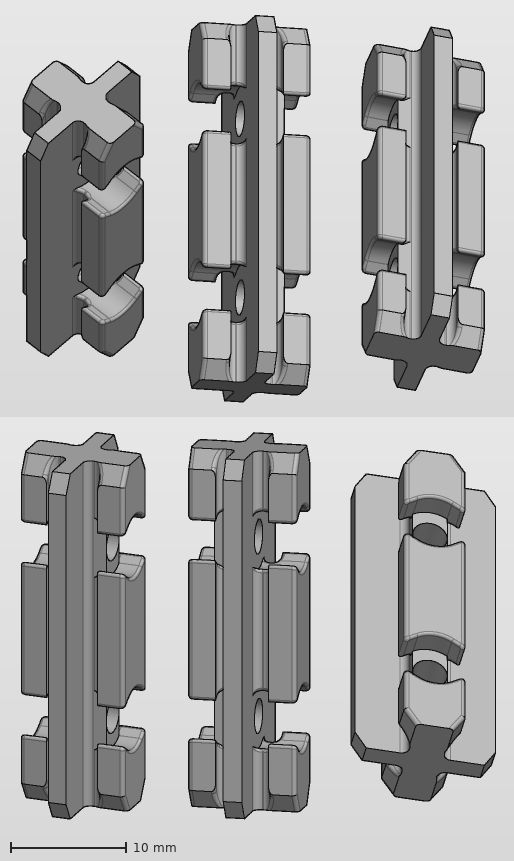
import cadquery as cq
import math

length = 32.0
wing_span = 9.7
fin_span = 12.5
fin_thickness = 1.65
wing_thickness = 5.45

fin_bevel_depth = 1.0
wing_bevel_depth = 1.05
bevel_length = 1.65
wing_edge_radius = 0.4

groove_width = 1.55
groove_radius = 0.7
core_thickness = 3.1

hole_spacing = 16.0
hole_diameter = 3.07
head_recess_radius = 2.8
nut_recess_radius = 2.88
head_seat_x = -2.75
recess_edge_radius = 0.25
flank_angle = math.radians(33)

half_length = length / 2
half_span = wing_span / 2
half_core = core_thickness / 2
fin_face = fin_thickness / 2
recess_floor_x = fin_face / 2
groove_center_x = fin_face + groove_width / 2
groove_root_x = fin_face + groove_radius
hole_heights = (-hole_spacing / 2, hole_spacing / 2)
overcut = 0.32
tolerance = 0.003


def bevelled_plate(size_x, size_y, bevel_depth):
    """Full-length plate whose four end edges are bevelled in the YZ plane."""
    half_y = size_y / 2
    bevel_start = half_length - bevel_length
    end_half_y = half_y - bevel_depth
    return (
        cq.Workplane("YZ")
        .moveTo(-half_y, -bevel_start)
        .lineTo(-end_half_y, -half_length)
        .lineTo(end_half_y, -half_length)
        .lineTo(half_y, -bevel_start)
        .lineTo(half_y, bevel_start)
        .lineTo(end_half_y, half_length)
        .lineTo(-end_half_y, half_length)
        .lineTo(-half_y, bevel_start)
        .close()
        .extrude(size_x / 2, both=True)
    )


def make_wings():
    """Wing plate with rounded side rims; the flat ends stay sharp."""
    plate = bevelled_plate(wing_span, wing_thickness, wing_bevel_depth)
    return plate.faces("<X or >X").edges("not |Y").fillet(wing_edge_radius)


def make_spine(start_x, end_x):
    """Unbevelled full-length block in the middle of the part, spanning the given X range."""
    block = cq.Workplane("XY").box(end_x - start_x, wing_thickness, length)
    return block.translate(((start_x + end_x) / 2, 0, 0))


def make_groove(side_x, side_y):
    """Cutter for one round-bottomed groove between a fin and a wing."""
    height = wing_thickness / 2
    cutter = cq.Workplane("XY").box(groove_width, height, length)
    floor_edges = cutter.faces("<Y" if side_y > 0 else ">Y").edges("|Z")
    return floor_edges.fillet(groove_radius).translate(
        (side_x * groove_center_x, side_y * (half_core + height / 2), 0)
    )


def cut_grooves(solid):
    """Cut all four grooves."""
    for side_x in (-1, 1):
        for side_y in (-1, 1):
            solid = solid.cut(make_groove(side_x, side_y))
    return solid


def round_groove_bevel_edges(wings):
    """Round the edges where groove walls meet the bevelled wing ends."""
    groove_outer_x = groove_center_x + groove_width / 2
    edges = []
    for edge in wings.edges().vals():
        box = edge.BoundingBox()
        slanted = box.ylen > tolerance and box.zlen > tolerance
        on_bevel = min(abs(box.zmin), abs(box.zmax)) > half_length - bevel_length - tolerance
        beside_groove = max(abs(box.xmin), abs(box.xmax)) < groove_outer_x + tolerance
        if slanted and on_bevel and beside_groove:
            edges.append(edge)
    return wings.newObject(edges).fillet(wing_edge_radius)


def recess(radius, side):
    """Recess prism: arcs above and below, running tangentially into sloped flanks."""
    tangent_y = radius * math.sin(flank_angle)
    tangent_z = radius * math.cos(flank_angle)
    flank_y = wing_thickness / 2 + overcut
    flank_z = tangent_z - (flank_y - tangent_y) * math.tan(flank_angle)
    return (
        cq.Workplane("YZ", origin=(side * recess_floor_x, 0, 0))
        .moveTo(-flank_y, flank_z)
        .lineTo(-tangent_y, tangent_z)
        .threePointArc((0, radius), (tangent_y, tangent_z))
        .lineTo(flank_y, flank_z)
        .lineTo(flank_y, -flank_z)
        .lineTo(tangent_y, -tangent_z)
        .threePointArc((0, -radius), (-tangent_y, -tangent_z))
        .lineTo(-flank_y, -flank_z)
        .close()
        .extrude(side * (half_span - recess_floor_x))
    )


def cut_recess(wings, radius, side, height):
    """Cut one recess into a wing and round the rim of its walls."""
    cutter = recess(radius, side).translate((0, 0, height))
    wings = wings.cut(cutter)
    rim = []
    for edge in wings.edges().vals():
        box = edge.BoundingBox()
        at_height = max(abs(box.zmin - height), abs(box.zmax - height)) < radius + tolerance
        on_side = box.center.x * side > 0
        on_floor = box.xlen < tolerance and abs(box.center.x - side * recess_floor_x) < tolerance
        wall_seam = abs(box.center.y) < half_core - tolerance and box.ylen < tolerance
        if at_height and on_side and not on_floor and not wall_seam:
            rim.append(edge)
    return wings.newObject(rim).fillet(recess_edge_radius)


def make_head_seat():
    """Block between the groove floors that seats the screw heads."""
    seat_length = hole_spacing + 2 * head_recess_radius
    seat = cq.Workplane("XY").box(-head_seat_x, core_thickness, seat_length)
    return seat.translate((head_seat_x / 2, 0, 0))


def make_hole(height):
    """Cutter for one screw hole through both wings."""
    return (
        cq.Workplane("YZ")
        .center(0, height)
        .circle(hole_diameter / 2)
        .extrude(half_span, both=True)
    )


body = cut_grooves(make_wings().union(make_spine(-groove_root_x, groove_root_x)))
body = round_groove_bevel_edges(body)

for height in hole_heights:
    body = cut_recess(body, head_recess_radius, -1, height)
    body = cut_recess(body, nut_recess_radius, 1, height)
body = body.union(make_head_seat())
body = body.union(cut_grooves(make_spine(-groove_root_x, 0)))
body = body.union(bevelled_plate(fin_thickness, fin_span, fin_bevel_depth))

for height in hole_heights:
    body = body.cut(make_hole(height))

result = body